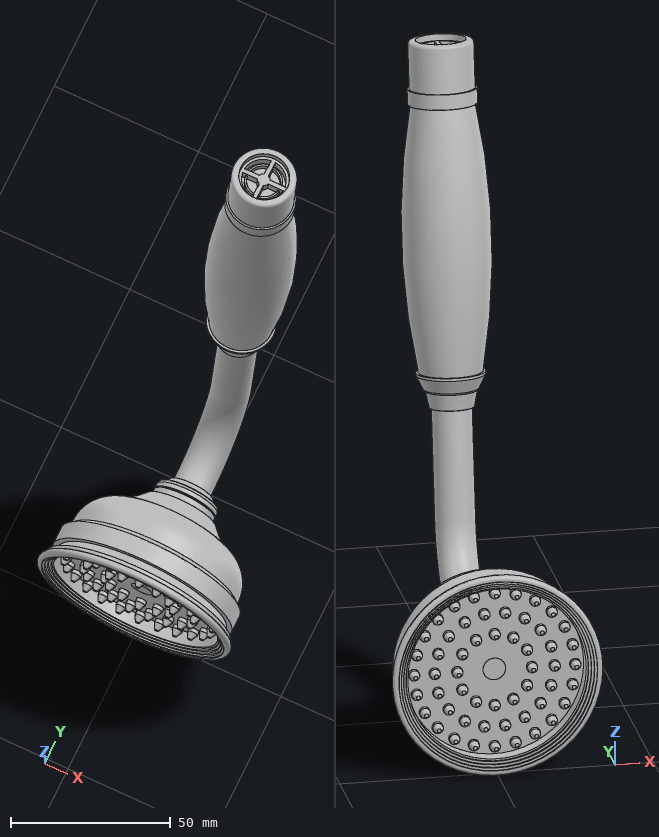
import cadquery as cq
import math

flange_radius = 33.5
flange_edge_radius = 32.3
bead_thickness = 2.5
flange_thickness = 3.8
groove_front_radius = 30.5
groove_radius = 29.3
band_radius = 31.2
band_front = 7.0
band_back = 13.2
shoulder_radius = 30.2
shoulder_front = 14.9
shoulder_front_radius = 29.1
dome_front = 17.5
dome_front_radius = 29.0
dome_mid = 24.5
dome_mid_radius = 26.3
dome_back = 28.7
dome_back_radius = 19.5
crown_mid = 31.9
crown_mid_radius = 15.3
crown_back = 35.0
crown_radius = 12.3
neck_radius = 10.6
neck_end = 37.5

mouth_steps = [(31.7, 0.5), (30.8, 1.0), (30.0, 1.7), (29.1, 2.3)]
plate_radius = 28.5
plate_depth = 6.8

plate_thickness = 2.5
plug_radius = 3.6
nozzle_base_radius = 1.7
nozzle_tip_radius = 0.6
nozzle_collar_height = 1.3
nozzle_height = 3.5
nozzle_rings = [(12.0, 12), (19.1, 18), (25.7, 24)]

collar_groove_width = 0.5
collar_groove_radius = 10.0
collar_start = neck_end + collar_groove_width
collar_rim_end = 39.5
collar_taper_start = 40.5
collar_rim_radius = 10.2
collar_shoulder_radius = 9.5
collar_tip_radius = 7.6
collar_end = 42.7
tube_radius = 6.48
bend_radius = 29.5
handle_tilt = 9.0

ferrule_start = 36.8
ferrule_tip_radius = 7.2
ferrule_waist = 42.0
ferrule_waist_radius = 8.3
ferrule_step = 0.6
ferrule_rim_start = 47.2
ferrule_radius = 11.0
grip_start = 48.0
grip_end = 134.0
grip_end_radius = 10.2
grip_middle_radius = 14.2
ring_end = 139.0
cap_radius = 10.5
cap_end = 154.5
cap_rounding = 1.3

socket_radius = 7.97
socket_depth = 6.4
insert_rim_depth = 2.1
insert_rim_bore = 7.0
insert_floor_depth = 5.3
inner_ring_depth = 3.5
inner_ring_radius = 6.0
inner_ring_bore = 5.3
cross_depth = 2.1
arm_width = 1.5
hub_radius = 2.02

tilt = math.radians(handle_tilt)
bend_end_y = collar_end + bend_radius * math.cos(tilt)
bend_end_z = bend_radius * (1 - math.sin(tilt))

handle_base = cq.Plane(
    origin=(0, bend_end_y, bend_end_z),
    xDir=(1, 0, 0),
    normal=(0, math.sin(tilt), math.cos(tilt)),
)


def handle_plane(station):
    """Cross-section plane of the handle at a distance from the end of the bend."""
    return cq.Plane(
        origin=handle_base.toWorldCoords((0, 0, station)),
        xDir=handle_base.xDir,
        normal=handle_base.zDir,
    )


def handle_profile():
    """Sketch plane through the handle axis: x is the radius, y the station."""
    return cq.Workplane(cq.Plane(origin=handle_base.origin, xDir=(1, 0, 0), normal=-handle_base.yDir))


def turned(profile):
    """Revolve a closed profile about the sketch's own y axis."""
    return profile.close().revolve(360, (0, 0), (0, 1))


def handle_disc(radius, depth_top, depth_bottom):
    """Disc inside the socket between two depths below the end of the handle."""
    return (
        cq.Workplane(handle_plane(cap_end - depth_bottom))
        .circle(radius)
        .extrude(depth_bottom - depth_top)
    )


def head_disc(radius, front, back):
    """Disc about the Y axis between two distances behind the front."""
    return cq.Workplane("XZ", origin=(0, back, 0)).circle(radius).extrude(back - front)


def make_head():
    profile = (
        cq.Workplane("XY")
        .lineTo(flange_edge_radius, 0)
        .threePointArc((flange_radius, bead_thickness / 2), (flange_edge_radius, bead_thickness))
        .lineTo(flange_edge_radius, flange_thickness)
        .lineTo(groove_front_radius, flange_thickness)
        .lineTo(groove_radius, band_front)
        .lineTo(band_radius, band_front)
        .lineTo(band_radius, band_back)
        .lineTo(shoulder_radius, band_back)
        .lineTo(shoulder_front_radius, shoulder_front)
        .lineTo(dome_front_radius, dome_front)
        .threePointArc((dome_mid_radius, dome_mid), (dome_back_radius, dome_back))
        .threePointArc((crown_mid_radius, crown_mid), (crown_radius, crown_back))
        .lineTo(neck_radius, crown_back)
        .lineTo(neck_radius, neck_end)
        .lineTo(0, neck_end)
    )
    head = turned(profile)
    for radius, depth in mouth_steps:
        head = head.cut(head_disc(radius, 0, depth))
    return head.cut(head_disc(plate_radius, 0, plate_depth + plate_thickness))


def nozzle():
    """Nozzle standing on the XY plane: a short cylinder with a conical tip."""
    collar = cq.Solid.makeCylinder(nozzle_base_radius, nozzle_collar_height)
    tip = cq.Solid.makeCone(nozzle_base_radius, nozzle_tip_radius, nozzle_height - nozzle_collar_height)
    return collar.fuse(tip.moved(cq.Location(cq.Vector(0, 0, nozzle_collar_height))))


def make_spray_plate():
    plate = head_disc(plate_radius, plate_depth, plate_depth + plate_thickness)
    plate = plate.cut(head_disc(plug_radius, plate_depth, plate_depth + plate_thickness))
    for pitch_radius, count in nozzle_rings:
        nozzles = (
            cq.Workplane("XZ", origin=(0, plate_depth, 0))
            .polarArray(pitch_radius, 0, 360, count)
            .eachpoint(nozzle(), useLocalCoordinates=True)
        )
        plate = plate.union(nozzles)
    return plate


def make_plug():
    return head_disc(plug_radius, plate_depth, plate_depth + plate_thickness)


def make_arm():
    collar = turned(
        cq.Workplane("XY")
        .moveTo(0, neck_end)
        .lineTo(collar_groove_radius, neck_end)
        .lineTo(collar_groove_radius, collar_start)
        .lineTo(neck_radius, collar_start)
        .lineTo(neck_radius, collar_rim_end)
        .lineTo(collar_rim_radius, collar_taper_start)
        .lineTo(collar_shoulder_radius, collar_taper_start)
        .lineTo(collar_tip_radius, collar_end)
        .lineTo(0, collar_end)
    )
    bend = (
        cq.Workplane("XZ", origin=(0, collar_end, 0))
        .circle(tube_radius)
        .revolve(90 - handle_tilt, (-2.1, bend_radius), (2.1, bend_radius))
    )
    straight = cq.Workplane(handle_base).circle(tube_radius).extrude(ferrule_start)
    return collar.union(bend).union(straight)


def make_ferrule():
    waist_end = ferrule_waist + ferrule_step
    waist_end_radius = ferrule_waist_radius + ferrule_step
    profile = (
        handle_profile()
        .moveTo(0, ferrule_start)
        .lineTo(ferrule_tip_radius, ferrule_start)
        .lineTo(ferrule_waist_radius, ferrule_waist)
        .lineTo(waist_end_radius, waist_end)
        .lineTo(ferrule_radius, ferrule_rim_start)
        .lineTo(ferrule_radius, grip_start)
        .lineTo(0, grip_start)
    )
    return turned(profile)


def make_grip():
    profile = (
        handle_profile()
        .moveTo(0, grip_start)
        .lineTo(grip_end_radius, grip_start)
        .threePointArc((grip_middle_radius, (grip_start + grip_end) / 2), (grip_end_radius, grip_end))
        .lineTo(0, grip_end)
    )
    return turned(profile)


def make_end_cap():
    ring = cq.Workplane(handle_plane(grip_end)).circle(ferrule_radius).extrude(ring_end - grip_end)
    cap = cq.Workplane(handle_plane(ring_end)).circle(cap_radius).extrude(cap_end - ring_end)
    cap = cap.faces(cq.selectors.DirectionMinMaxSelector(handle_base.zDir)).edges().fillet(cap_rounding)
    return ring.union(cap).cut(handle_disc(socket_radius, 0, socket_depth))


def make_insert():
    rim = handle_disc(socket_radius, insert_rim_depth, socket_depth)
    well = handle_disc(insert_rim_bore, insert_rim_depth, insert_floor_depth)
    ring = handle_disc(inner_ring_radius, inner_ring_depth, insert_floor_depth)
    ring = ring.cut(handle_disc(inner_ring_bore, inner_ring_depth, insert_floor_depth))
    hub = handle_disc(hub_radius, cross_depth, insert_floor_depth)
    insert = rim.cut(well).union(ring).union(hub)
    for angle in (0, 90):
        arm = (
            cq.Workplane(handle_plane(cap_end - insert_floor_depth))
            .transformed(rotate=(0, 0, angle))
            .rect(2 * insert_rim_bore, arm_width)
            .extrude(insert_floor_depth - cross_depth)
        )
        insert = insert.union(arm)
    return insert


head = make_head()
spray_plate = make_spray_plate()
plug = make_plug()
arm = make_arm()
ferrule = make_ferrule()
grip = make_grip()
end_cap = make_end_cap()
insert = make_insert()

bodies = [head, spray_plate, plug, arm, ferrule, grip, end_cap, insert]
result = cq.Compound.makeCompound([body.val() for body in bodies])